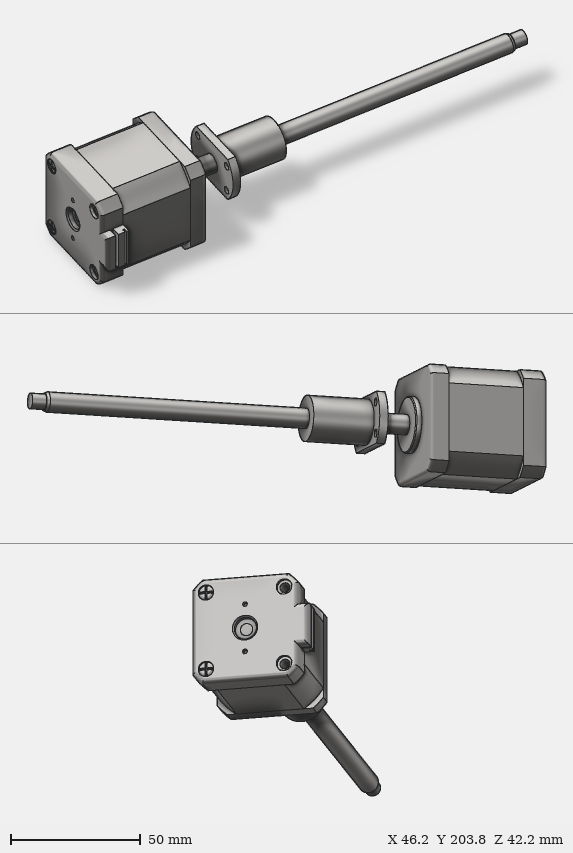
import cadquery as cq
import math

TOTAL_LENGTH = 203.8

MOTOR_SIZE = 42.2
COVER_TURNED_DIA = 54.2
STATOR_TURNED_DIA = 50.0
REAR_EDGE_FILLET = 1.8
FRONT_EDGE_FILLET = 1.6

REAR_COVER_END = 9.8
STATOR_END = 40.1
FLANGE_END = 47.7
BOSS_END = 50.1
NUT_START = 63.0
NUT_FLANGE_END = 66.5
NUT_END = 91.0

BOSS_DIA = 22.0
BOSS_CHAMFER = 0.5

CONNECTOR_REACH = 4.0
CONNECTOR_HEIGHT = 17.0
SLOT_START = 3.9
SLOT_WIDTH = 1.2
OUTER_GROOVE_START = 8.2
OUTER_GROOVE_WIDTH = 0.6
OUTER_GROOVE_DEPTH = 1.6

BORE_DIA = 8.8
BORE_DEPTH = 2.5
BORE_CHAMFER = 0.6
SMALL_HOLE_DIA = 1.8
SMALL_HOLE_DEPTH = 2.0
SMALL_HOLE_OFFSET = 9.5

CORNER_OFFSET = 15.5
COUNTERBORE_DIA = 6.1
COUNTERBORE_DEPTH = 1.5
CLEARANCE_DIA = 3.9
HEAD_DOME = 1.0
RECESS_WIDTH = 0.8
RECESS_LENGTH = 5.3
RECESS_DEPTH = 1.6

SCREW_DIA = 8.0
JOURNAL_DIA = 6.1
JOURNAL_LENGTH = 5.7
SCREW_CHAMFER_LENGTH = 1.2
SCREW_CHAMFER_DIA = 7.0
REAR_SHAFT_DIA = 4.9

NUT_DIA = 18.0
NUT_FLANGE_DIA = 30.8
NUT_FLANGE_HEIGHT = 20.4
NUT_HOLE_DIA = 3.0
NUT_HOLE_CIRCLE_DIA = 24.5
NUT_HOLE_ANGLE = math.radians(30)


def cylinder(diameter, start, end, x=0, z=0):
    """Cylinder along +Y between two stations."""
    plane = cq.Workplane("XZ", origin=(x, start, z))
    return plane.circle(diameter / 2).extrude(start - end)


def block(width, height, start, end):
    """Box centred on the Y axis between two stations."""
    return cq.Workplane("XZ", origin=(0, start, 0)).rect(width, height).extrude(start - end)


def turned_square(turned_dia, start, end):
    """Square motor section with its corners turned to a circle."""
    return block(MOTOR_SIZE, MOTOR_SIZE, start, end).intersect(cylinder(turned_dia, start, end))


def connector_block(depth, start, width):
    """Full-height block reaching inward from the connector's outer face."""
    outer_x = MOTOR_SIZE / 2 + CONNECTOR_REACH
    plane = cq.Workplane("XY", origin=(outer_x - depth, start, 0))
    return plane.box(depth, width, CONNECTOR_HEIGHT, centered=(False, False, True))


def rear_bore():
    """Cutter for the blind rear bore with its chamfered mouth."""
    mouth = cq.Workplane("XZ").circle(BORE_DIA / 2 + BORE_CHAMFER).extrude(-BORE_CHAMFER, taper=45)
    return cylinder(BORE_DIA, 0, BORE_DEPTH).union(mouth)


def make_rear_cover():
    cover = turned_square(COVER_TURNED_DIA, 0, REAR_COVER_END)
    connector = connector_block(MOTOR_SIZE / 2 + CONNECTOR_REACH, 0, REAR_COVER_END)
    cover = cover.union(connector)
    cover = cover.faces("<Y").edges().fillet(REAR_EDGE_FILLET)
    cover = cover.cut(connector_block(CONNECTOR_REACH, SLOT_START, SLOT_WIDTH))
    cover = cover.cut(connector_block(OUTER_GROOVE_DEPTH, OUTER_GROOVE_START, OUTER_GROOVE_WIDTH))

    cover = cover.cut(rear_bore())
    cover = cover.cut(cylinder(REAR_SHAFT_DIA, BORE_DEPTH, REAR_COVER_END))
    for z in (-SMALL_HOLE_OFFSET, SMALL_HOLE_OFFSET):
        cover = cover.cut(cylinder(SMALL_HOLE_DIA, 0, SMALL_HOLE_DEPTH, z=z))
    for x in (-CORNER_OFFSET, CORNER_OFFSET):
        for z in (-CORNER_OFFSET, CORNER_OFFSET):
            cover = cover.cut(cylinder(COUNTERBORE_DIA, 0, COUNTERBORE_DEPTH, x, z))
            cover = cover.cut(cylinder(CLEARANCE_DIA, 0, REAR_COVER_END, x, z))
    return cover


def make_cover_screw(z):
    """Cross-recessed screw in a counterbore on the -X side."""
    x = -CORNER_OFFSET
    head = cylinder(COUNTERBORE_DIA, 0, COUNTERBORE_DEPTH, x, z).faces("<Y").edges().fillet(HEAD_DOME)
    shank = cylinder(CLEARANCE_DIA, COUNTERBORE_DEPTH, REAR_COVER_END, x, z)
    recess = (
        block(RECESS_LENGTH, RECESS_WIDTH, 0, RECESS_DEPTH)
        .union(block(RECESS_WIDTH, RECESS_LENGTH, 0, RECESS_DEPTH))
        .translate((x, 0, z))
    )
    return head.union(shank).cut(recess)


def make_stator():
    stator = turned_square(STATOR_TURNED_DIA, REAR_COVER_END, STATOR_END)
    return stator.cut(cylinder(REAR_SHAFT_DIA, REAR_COVER_END, STATOR_END))


def make_front_flange():
    flange = turned_square(COVER_TURNED_DIA, STATOR_END, FLANGE_END)
    flange = flange.faces(">Y").edges().fillet(FRONT_EDGE_FILLET)
    boss = cylinder(BOSS_DIA, FLANGE_END, BOSS_END).faces(">Y").edges().chamfer(BOSS_CHAMFER)
    return flange.union(boss).cut(cylinder(SCREW_DIA, STATOR_END, BOSS_END))


def make_lead_screw():
    journal_start = TOTAL_LENGTH - JOURNAL_LENGTH
    taper_start = journal_start - SCREW_CHAMFER_LENGTH
    profile = [
        (0, BORE_DEPTH),
        (REAR_SHAFT_DIA / 2, BORE_DEPTH),
        (REAR_SHAFT_DIA / 2, STATOR_END),
        (SCREW_DIA / 2, STATOR_END),
        (SCREW_DIA / 2, taper_start),
        (SCREW_CHAMFER_DIA / 2, journal_start),
        (JOURNAL_DIA / 2, journal_start),
        (JOURNAL_DIA / 2, TOTAL_LENGTH),
        (0, TOTAL_LENGTH),
    ]
    return cq.Workplane("XY").polyline(profile).close().revolve(360, (0, 0, 0), (0, 1, 0))


def make_nut():
    flange = cylinder(NUT_FLANGE_DIA, NUT_START, NUT_FLANGE_END).intersect(
        block(NUT_FLANGE_DIA, NUT_FLANGE_HEIGHT, NUT_START, NUT_FLANGE_END)
    )
    nut = flange.union(cylinder(NUT_DIA, NUT_FLANGE_END, NUT_END))
    nut = nut.cut(cylinder(SCREW_DIA, NUT_START, NUT_END))
    hole_x = NUT_HOLE_CIRCLE_DIA / 2 * math.cos(NUT_HOLE_ANGLE)
    hole_z = NUT_HOLE_CIRCLE_DIA / 2 * math.sin(NUT_HOLE_ANGLE)
    for x in (-hole_x, hole_x):
        for z in (-hole_z, hole_z):
            nut = nut.cut(cylinder(NUT_HOLE_DIA, NUT_START, NUT_FLANGE_END, x, z))
    return nut


rear_cover = make_rear_cover()
stator = make_stator()
front_flange = make_front_flange()
lead_screw = make_lead_screw()
nut = make_nut()
cover_screws = [make_cover_screw(z) for z in (-CORNER_OFFSET, CORNER_OFFSET)]

result = cq.Compound.makeCompound(
    [
        rear_cover.val(),
        stator.val(),
        front_flange.val(),
        lead_screw.val(),
        nut.val(),
        *[screw.val() for screw in cover_screws],
    ]
)